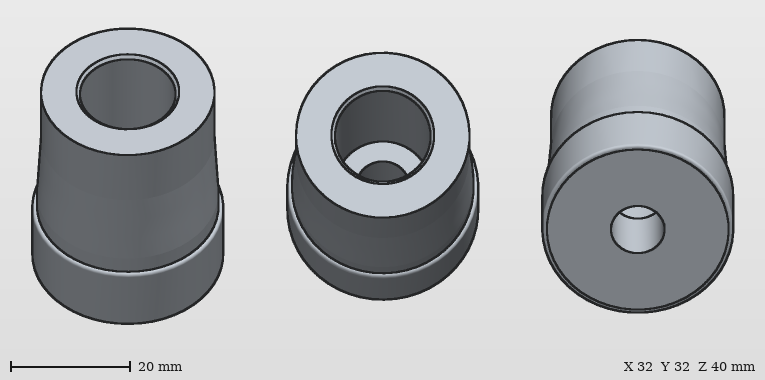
import cadquery as cq

total_height = 40.0
collar_radius = 16.0

collar_height = 12.2
collar_top_fillet = 0.6
collar_bottom_fillet = 0.5

foot_radius = 15.2
foot_top = 15.35
neck_radius = 14.5
neck_bottom = 28.9

bore_radius = 8.0
bore_chamfer = 0.6
through_hole_radius = 4.5
bore_depth = total_height - collar_height


def make_collar():
    """Ring around the foot of the sleeve, rounded along both outer edges."""
    disc = cq.Workplane("XY").circle(collar_radius).extrude(collar_height)
    disc = disc.faces(">Z").edges().fillet(collar_top_fillet)
    disc = disc.faces("<Z").edges().fillet(collar_bottom_fillet)
    sleeve_seat = cq.Workplane("XY").circle(foot_radius).extrude(collar_height)
    return disc.cut(sleeve_seat)


def make_sleeve_blank():
    """Solid of revolution that tapers from the foot to the neck."""
    return (
        cq.Workplane("XZ")
        .lineTo(foot_radius, 0)
        .lineTo(foot_radius, foot_top)
        .lineTo(neck_radius, neck_bottom)
        .lineTo(neck_radius, total_height)
        .lineTo(0, total_height)
        .close()
        .revolve(360, (0, 0, 0), (0, 1, 0))
    )


def make_sleeve():
    """Sleeve with a counterbored through hole and a chamfered bore mouth."""
    sleeve = (
        make_sleeve_blank()
        .faces(">Z")
        .workplane()
        .cboreHole(2 * through_hole_radius, 2 * bore_radius, bore_depth)
    )
    bore_mouth = sleeve.faces(">Z").edges(cq.selectors.RadiusNthSelector(0))
    return bore_mouth.chamfer(bore_chamfer)


collar = make_collar()
sleeve = make_sleeve()

result = cq.Compound.makeCompound([collar.solids().val(), sleeve.solids().val()])